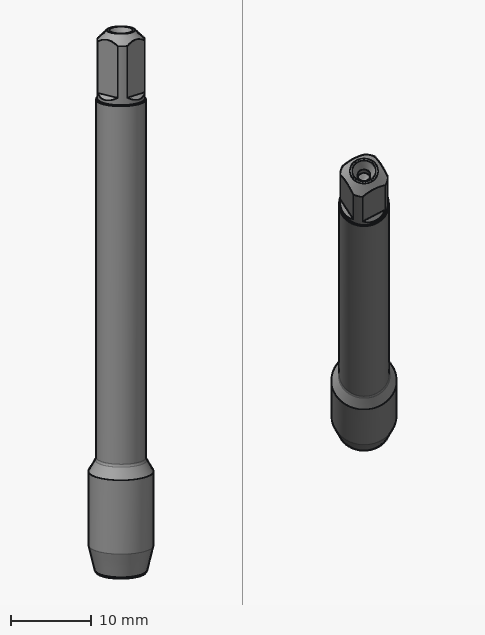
import cadquery as cq
import math

length = 70.0

head_radius = 8.1 / 2
head_top = 13.0
lead_height = 3.5
lead_end_radius = 3.3
tip_radius = 3.1
tip_chamfer_height = 0.3

shank_radius = 6.2 / 2
shoulder_angle = math.radians(30)
neck_fillet_radius = 0.7

drive_radius = 5.95 / 2
drive_width = 5.0
drive_flat_angles = (0, 90, 180, 270)
flat_bottom = 62.1
drive_base = 61.2
step_height = shank_radius - drive_radius
top_face_radius = 1.75

countersink_radius = 1.5
hole_radius = 1.6 / 2
countersink_half_angle = math.radians(30)
countersink_depth = (countersink_radius - hole_radius) / math.tan(countersink_half_angle)
hole_depth = 2.1
hole_tip_half_angle = math.radians(60)
hole_tip_depth = hole_radius / math.tan(hole_tip_half_angle)


def revolve_profile(points):
    """Turn a half profile of (radius, height) points about the Z axis."""
    return cq.Workplane("XZ").polyline(points).close().revolve(360, (0, 0), (0, 1))


def make_head():
    return revolve_profile([
        (0, 0),
        (tip_radius, 0),
        (lead_end_radius, tip_chamfer_height),
        (head_radius, lead_height),
        (head_radius, head_top),
        (0, head_top),
    ])


def make_shank_blank():
    def fillet_radius_at(angle):
        return shank_radius + neck_fillet_radius * (1 - math.cos(angle))

    shoulder_top_radius = fillet_radius_at(shoulder_angle)
    shoulder_height = (head_radius - shoulder_top_radius) / math.tan(shoulder_angle)
    shoulder_top = head_top + shoulder_height
    fillet_top = shoulder_top + neck_fillet_radius * math.sin(shoulder_angle)
    middle_angle = shoulder_angle / 2
    fillet_middle = (
        fillet_radius_at(middle_angle),
        fillet_top - neck_fillet_radius * math.sin(middle_angle),
    )

    bevel_height = drive_radius - top_face_radius
    return (
        cq.Workplane("XZ")
        .moveTo(0, head_top)
        .lineTo(head_radius, head_top)
        .lineTo(shoulder_top_radius, shoulder_top)
        .threePointArc(fillet_middle, (shank_radius, fillet_top))
        .lineTo(shank_radius, drive_base - step_height)
        .lineTo(drive_radius, drive_base)
        .lineTo(drive_radius, length - bevel_height)
        .lineTo(top_face_radius, length)
        .lineTo(0, length)
        .close()
        .revolve(360, (0, 0), (0, 1))
    )


def make_flat_cutter():
    """Cutter for the +X flat, whose lower end runs out at 45 degrees."""
    half_width = drive_width / 2
    cut_depth = head_radius - half_width
    return (
        cq.Workplane("XZ")
        .polyline([
            (half_width, length),
            (half_width, flat_bottom),
            (head_radius, flat_bottom - cut_depth),
            (head_radius, length),
        ])
        .close()
        .extrude(head_radius, both=True)
    )


def make_center_hole():
    return revolve_profile([
        (0, length),
        (countersink_radius, length),
        (hole_radius, length - countersink_depth),
        (hole_radius, length - hole_depth),
        (0, length - hole_depth - hole_tip_depth),
    ])


def make_shank():
    shank = make_shank_blank()
    flat_cutter = make_flat_cutter()
    for angle in drive_flat_angles:
        shank = shank.cut(flat_cutter.rotate((0, 0, 0), (0, 0, 1), angle))
    return shank.cut(make_center_hole())


head = make_head()
shank = make_shank()

result = cq.Compound.makeCompound([head.val(), shank.val()])